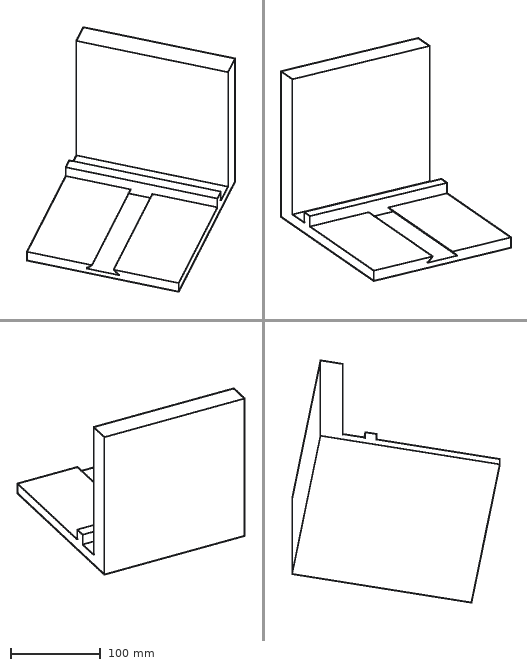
import cadquery as cq

width = 177.8
depth = 203.2
height = 177.8

base_thickness = 12.7
wall_thickness = 25.4

rib_thickness = 12.7
rib_height = 12.7
rib_gap = 25.4

slot_depth = base_thickness / 2
slot_mouth_width = 25.4
slot_floor_width = slot_mouth_width + 2 * slot_depth

wall_front = depth - wall_thickness
rib_back = wall_front - rib_gap
rib_front = rib_back - rib_thickness


def block(y_start, y_length, z_start, z_length):
    """Full-width block, centred on X = 0."""
    return cq.Workplane("XY").box(width, y_length, z_length, centered=(True, False, False)).translate(
        (0, y_start, z_start)
    )


def dovetail_slot():
    """Dovetail prism from the front edge up to the front face of the rib."""
    floor = base_thickness - slot_depth
    outline = [
        (-slot_floor_width / 2, floor),
        (slot_floor_width / 2, floor),
        (slot_mouth_width / 2, base_thickness),
        (-slot_mouth_width / 2, base_thickness),
    ]
    return cq.Workplane("XZ").polyline(outline).close().extrude(-rib_front)


base = block(0, depth, 0, base_thickness)
wall = block(wall_front, wall_thickness, 0, height)
rib = block(rib_front, rib_thickness, base_thickness, rib_height)

result = base.union(wall).union(rib).cut(dovetail_slot())